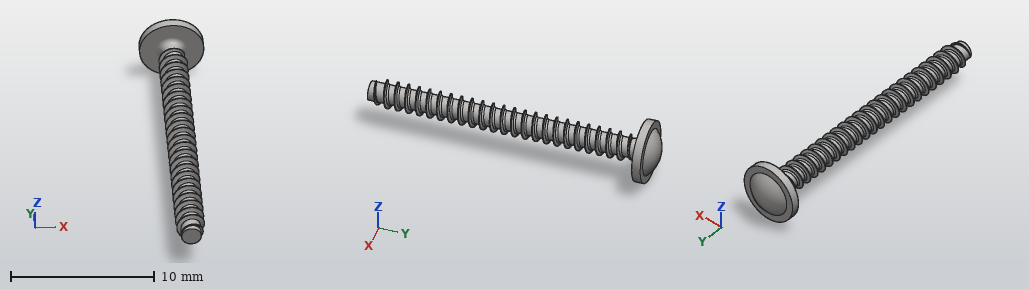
import cadquery as cq
import math

length = 21.37

flange_diameter = 4.5
flange_height = 0.65
dome_radius = 1.7
dome_height = 0.73

core_diameter = 1.39
neck_diameter = 1.5
neck_length = 0.55
neck_taper = 0.36
neck_fillet = 0.36

crest_diameter = 2.0
crest_half_width = 0.032
knee_radius = 0.77
knee_above = 0.1
knee_below = 0.09
root_above = 0.4
root_below = 0.15
root_overlap = 0.09
thread_start = 0.17
thread_length = 19.51
thread_turns = 25
fade_turns = 1.5
fade_min_scale = 0.06
thread_stretches = thread_turns
points_per_turn = 16

flange_radius = flange_diameter / 2
core_radius = core_diameter / 2
neck_radius = neck_diameter / 2
crest_radius = crest_diameter / 2
pitch = thread_length / thread_turns

flange_top = length - dome_height
flange_bottom = flange_top - flange_height
neck_bottom = flange_bottom - neck_length


def make_body():
    """Revolve the core, neck, flange and domed head in one piece."""
    sphere_radius = (dome_radius**2 + dome_height**2) / (2 * dome_height)
    dome_half_angle = math.asin(dome_radius / sphere_radius) / 2
    dome_middle = (
        sphere_radius * math.sin(dome_half_angle),
        length - sphere_radius * (1 - math.cos(dome_half_angle)),
    )
    fillet_drop = neck_fillet * (1 - math.sqrt(0.5))
    fillet_middle = (neck_radius + fillet_drop, flange_bottom - fillet_drop)
    profile = (
        cq.Workplane("XZ")
        .moveTo(0, 0)
        .lineTo(core_radius, 0)
        .lineTo(core_radius, neck_bottom - neck_taper)
        .lineTo(neck_radius, neck_bottom)
        .lineTo(neck_radius, flange_bottom - neck_fillet)
        .threePointArc(fillet_middle, (neck_radius + neck_fillet, flange_bottom))
        .lineTo(flange_radius, flange_bottom)
        .lineTo(flange_radius, flange_top)
        .lineTo(dome_radius, flange_top)
        .threePointArc(dome_middle, (0, length))
        .close()
    )
    return profile.revolve(360, (0, 0, 0), (0, 1, 0))


def thread_scale(turn):
    """Size of the thread section: full in the middle, easing off over each run-out."""
    from_end = min(turn, thread_turns - turn, fade_turns)
    ease = math.sin(math.pi / 2 * from_end / fade_turns)
    return fade_min_scale + (1 - fade_min_scale) * ease


def thread_point(corner, turn):
    """Position of one corner of the thread section after a number of turns."""
    corner_radius, offset = corner
    scale = thread_scale(turn)
    radius = core_radius + (corner_radius - core_radius) * scale
    angle = math.pi + 2 * math.pi * turn
    height = thread_start + pitch * turn + offset * scale
    return cq.Vector(radius * math.cos(angle), radius * math.sin(angle), height)


def spiral_edge(corner, first_turn, last_turn):
    """Stretch of the spiral followed by one corner of the thread section."""
    steps = round((last_turn - first_turn) * points_per_turn)
    turns = [first_turn + (last_turn - first_turn) * i / steps for i in range(steps + 1)]
    return cq.Edge.makeSpline([thread_point(corner, turn) for turn in turns])


def end_face(corners, turn):
    """Flat face closing the thread at one of its ends."""
    outline = cq.Wire.makePolygon([thread_point(corner, turn) for corner in corners], close=True)
    return cq.Face.makeFromWires(outline)


def make_thread():
    """Solid bounded by ruled strips between the corner spirals, built in short stretches."""
    foot_radius = core_radius - root_overlap
    corners = [
        (foot_radius, -root_below),
        (knee_radius, -knee_below),
        (crest_radius, -crest_half_width),
        (crest_radius, crest_half_width),
        (knee_radius, knee_above),
        (foot_radius, root_above),
    ]

    faces = [end_face(corners, 0), end_face(corners, thread_turns)]
    stretch = thread_turns / thread_stretches
    for n in range(thread_stretches):
        spirals = [spiral_edge(corner, n * stretch, (n + 1) * stretch) for corner in corners]
        for i in range(len(spirals)):
            faces.append(cq.Face.makeRuledSurface(spirals[i - 1], spirals[i]))
    return cq.Solid.makeSolid(cq.Shell.makeShell(faces))


screw = make_body().union(cq.Workplane(obj=make_thread()))

result = screw.solids().rotate((0, 0, 0), (1, 0, 0), -90)